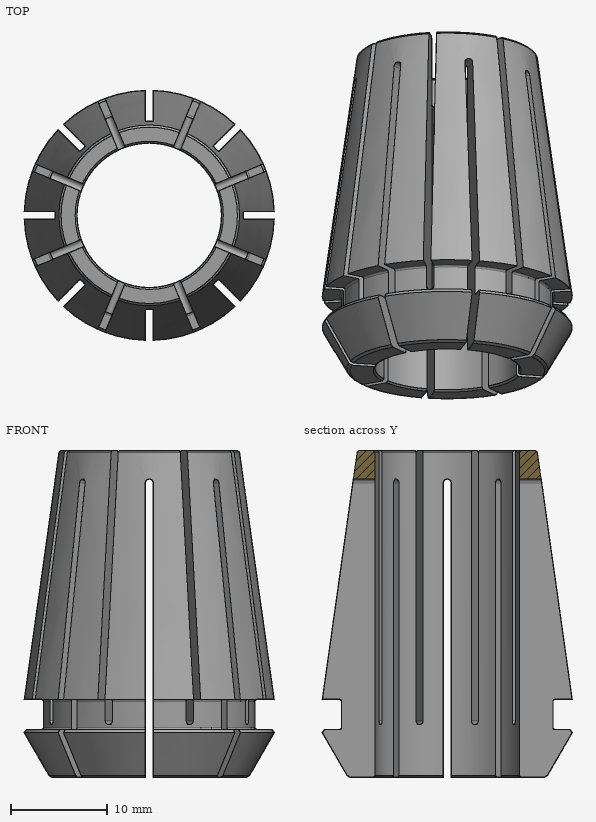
import cadquery as cq
import math

LENGTH = 34.0
MAX_RADIUS = 13.0
BORE_DIAMETER = 15.0

TAPER_START_Z = 8.1
TAPER_HALF_ANGLE = 8.0

NOSE_HALF_ANGLE = 30.0
NOSE_RIM_Z = 4.65
GROOVE_BOTTOM_Z = 5.0
GROOVE_RADIUS = 11.0
RIM_BEVEL_WIDTH = 0.25

GROOVE_FILLET = 0.2
END_CHAMFER = 0.2

SLOT_WIDTH = 0.8
SLOTS_PER_END = 8
NOSE_SLOT_TOP_Z = 31.0
TOP_SLOT_BOTTOM_Z = 5.5
SLOT_OVERRUN = 1.0

bore_radius = BORE_DIAMETER / 2
top_radius = MAX_RADIUS - (LENGTH - TAPER_START_Z) * math.tan(math.radians(TAPER_HALF_ANGLE))
nose_radius = MAX_RADIUS - NOSE_RIM_Z * math.tan(math.radians(NOSE_HALF_ANGLE))
slot_pitch_angle = 360.0 / SLOTS_PER_END


def make_body():
    """Revolve the double taper with its groove and bore about Z."""
    fillet_inset = GROOVE_FILLET * (1 - math.sqrt(0.5))
    groove_floor_low_z = GROOVE_BOTTOM_Z + GROOVE_FILLET
    groove_floor_high_z = TAPER_START_Z - GROOVE_FILLET
    profile = (
        cq.Workplane("XZ")
        .moveTo(bore_radius, END_CHAMFER)
        .lineTo(bore_radius + END_CHAMFER, 0)
        .lineTo(nose_radius - END_CHAMFER, 0)
        .lineTo(nose_radius + END_CHAMFER * math.tan(math.radians(NOSE_HALF_ANGLE)), END_CHAMFER)
        .lineTo(MAX_RADIUS, NOSE_RIM_Z)
        .lineTo(MAX_RADIUS - RIM_BEVEL_WIDTH, GROOVE_BOTTOM_Z)
        .lineTo(GROOVE_RADIUS + GROOVE_FILLET, GROOVE_BOTTOM_Z)
        .threePointArc(
            (GROOVE_RADIUS + fillet_inset, GROOVE_BOTTOM_Z + fillet_inset),
            (GROOVE_RADIUS, groove_floor_low_z),
        )
        .lineTo(GROOVE_RADIUS, groove_floor_high_z)
        .threePointArc(
            (GROOVE_RADIUS + fillet_inset, TAPER_START_Z - fillet_inset),
            (GROOVE_RADIUS + GROOVE_FILLET, TAPER_START_Z),
        )
        .lineTo(MAX_RADIUS, TAPER_START_Z)
        .lineTo(top_radius + END_CHAMFER * math.tan(math.radians(TAPER_HALF_ANGLE)), LENGTH - END_CHAMFER)
        .lineTo(top_radius - END_CHAMFER, LENGTH)
        .lineTo(bore_radius + END_CHAMFER, LENGTH)
        .lineTo(bore_radius, LENGTH - END_CHAMFER)
        .close()
    )
    return profile.revolve(360, (0, 0, 0), (0, 1, 0))


def slot_cutter(round_end_z, open_end_z, angle):
    """Radial blade along +X turned to the angle, with a full round at one end."""
    half_width = SLOT_WIDTH / 2
    open_side = math.copysign(1, open_end_z - round_end_z)
    arc_start_z = round_end_z + open_side * half_width
    blade = (
        cq.Workplane("YZ")
        .moveTo(-half_width, open_end_z)
        .lineTo(-half_width, arc_start_z)
        .threePointArc((0, round_end_z), (half_width, arc_start_z))
        .lineTo(half_width, open_end_z)
        .close()
        .extrude(MAX_RADIUS + SLOT_OVERRUN)
    )
    return blade.rotate((0, 0, 0), (0, 0, 1), angle)


def cut_slots(body):
    """Cut slots from the nose end, and slots from the top end halfway between them."""
    for index in range(SLOTS_PER_END):
        nose_slot_angle = index * slot_pitch_angle
        top_slot_angle = nose_slot_angle + slot_pitch_angle / 2
        body = body.cut(slot_cutter(NOSE_SLOT_TOP_Z, -SLOT_OVERRUN, nose_slot_angle))
        body = body.cut(slot_cutter(TOP_SLOT_BOTTOM_Z, LENGTH + SLOT_OVERRUN, top_slot_angle))
    return body


result = cut_slots(make_body())